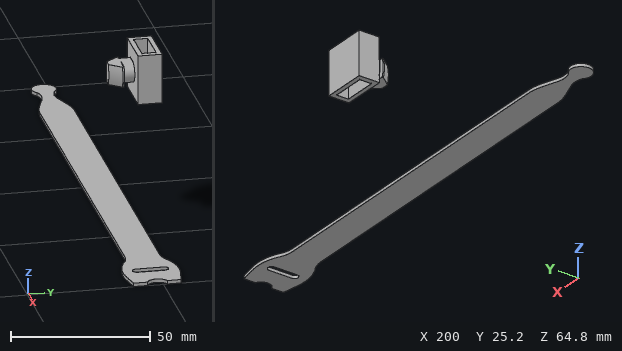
import cadquery as cq
import math

strap_length = 200.0
strap_thickness = 1.4
band_half_width = 6.4
ball_radius = 4.5
ball_joint_half_width = 3.2
neck_x = 11.5
neck_half_width = 2.4
taper_start = (15.4, 3.2)
taper_end = (21.2, 5.2)
shoulder_mid = (24.0, 6.0)
band_start_x = 27.0
band_end_x = 173.8
flare_mid = (177.2, 7.0)
flare_start = (180.0, 8.4)
flare_end = (183.2, 9.5)
head_crest = (188.5, 10.4)
head_crest_end = (193.2, 10.0)
head_end_half_width = 8.8
notch_half_width = 3.5
notch_depth = 2.4
slot_x = 188.0
slot_length = 13.2
slot_width = 3.0

overall_height = 64.8
sleeve_size = 18.8
sleeve_depth = 9.0
sleeve_front_y = 5.8
window_length = 14.2
window_depth = 5.2
holder_x = 130.0
holder_z = overall_height - sleeve_size / 2
stem_diameter = 7.8
stem_length = 4.2
barb_half_width = 5.2
tip_half_width = 1.5
barb_bulge = 0.5
barb_lip = 0.5
barb_slope_length = 4.4


def mirrored(point):
    """Reflect an outline point across the strap's centre line."""
    return (point[0], -point[1])


def make_strap():
    ball_joint_x = ball_radius + math.sqrt(ball_radius**2 - ball_joint_half_width**2)
    ball_joint = (ball_joint_x, ball_joint_half_width)
    neck = (neck_x, neck_half_width)
    band_start = (band_start_x, band_half_width)
    band_end = (band_end_x, band_half_width)
    head_end = (strap_length, head_end_half_width)
    notch_edge = (strap_length, notch_half_width)
    outline = (
        cq.Workplane("XY")
        .moveTo(*mirrored(ball_joint))
        .threePointArc((0, 0), ball_joint)
        .threePointArc(neck, taper_start)
        .lineTo(*taper_end)
        .threePointArc(shoulder_mid, band_start)
        .lineTo(*band_end)
        .threePointArc(flare_mid, flare_start)
        .lineTo(*flare_end)
        .threePointArc(head_crest, head_crest_end)
        .lineTo(*head_end)
        .lineTo(*notch_edge)
        .threePointArc((strap_length - notch_depth, 0), mirrored(notch_edge))
        .lineTo(*mirrored(head_end))
        .lineTo(*mirrored(head_crest_end))
        .threePointArc(mirrored(head_crest), mirrored(flare_end))
        .lineTo(*mirrored(flare_start))
        .threePointArc(mirrored(flare_mid), mirrored(band_end))
        .lineTo(*mirrored(band_start))
        .threePointArc(mirrored(shoulder_mid), mirrored(taper_end))
        .lineTo(*mirrored(taper_start))
        .threePointArc(mirrored(neck), mirrored(ball_joint))
        .close()
    )
    slot = (
        cq.Workplane("XY")
        .center(slot_x, 0)
        .slot2D(slot_length, slot_width, 90)
        .extrude(strap_thickness)
    )
    return outline.extrude(strap_thickness).cut(slot)


def holder_plane(y):
    """XZ workplane facing -Y, centred on the holder."""
    return cq.Workplane("XZ", origin=(holder_x, y, holder_z))


def make_sleeve():
    sleeve_center = (holder_x, sleeve_front_y + sleeve_depth / 2, holder_z)
    block = cq.Workplane("XY", origin=sleeve_center).box(sleeve_size, sleeve_depth, sleeve_size)
    window = cq.Workplane("XY", origin=sleeve_center).box(window_length, window_depth, sleeve_size)
    return block.cut(window)


def make_stem():
    """Round stem whose upper -X quarter is filled out to a square corner."""
    radius = stem_diameter / 2
    round_stem = holder_plane(sleeve_front_y).circle(radius).extrude(stem_length)
    square_corner = (
        holder_plane(sleeve_front_y)
        .center(-radius / 2, radius / 2)
        .rect(radius, radius)
        .extrude(stem_length)
    )
    return round_stem.union(square_corner)


def barb_section(plane, half_width):
    """Flat top and bottom, with sides bowed outward."""
    half_height = stem_diameter / 2
    return (
        plane.moveTo(-half_width, -half_height)
        .lineTo(half_width, -half_height)
        .threePointArc((half_width + barb_bulge, 0), (half_width, half_height))
        .lineTo(-half_width, half_height)
        .threePointArc((-half_width - barb_bulge, 0), (-half_width, -half_height))
        .close()
    )


def make_barb():
    barb_back_y = sleeve_front_y - stem_length
    slope_back = holder_plane(barb_back_y - barb_lip)
    lip = barb_section(holder_plane(barb_back_y), barb_half_width).extrude(barb_lip)
    slope_base = barb_section(slope_back, barb_half_width)
    tip_plane = slope_base.workplane(offset=barb_slope_length)
    slopes = barb_section(tip_plane, tip_half_width).loft(ruled=True)
    return lip.union(slopes)


def make_holder():
    return make_sleeve().union(make_stem()).union(make_barb())


strap = make_strap()
holder = make_holder()
result = cq.Compound.makeCompound([strap.val(), *holder.solids().vals()])